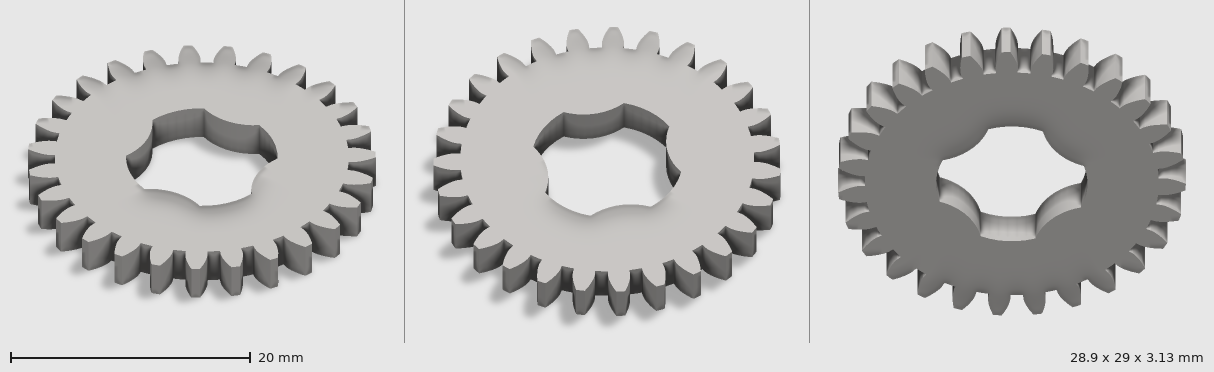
import cadquery as cq
import math

longest_side = 28.98
tooth_count = 27
thickness = 3.13
pressure_angle = math.radians(20)
addendum_factor = 1.0
dedendum_factor = 1.25
tooth_pitch = 2 * math.pi / tooth_count


def involute(angle):
    return math.tan(angle) - angle


def half_tooth_angle(flank_angle):
    """Half the angle a tooth spans where its involute has this pressure angle."""
    return tooth_pitch / 4 + involute(pressure_angle) - involute(flank_angle)


pitch_to_outer = tooth_count / (tooth_count + 2 * addendum_factor)
tip_flank_angle = math.acos(pitch_to_outer * math.cos(pressure_angle))
corner_off_y = tooth_pitch / 4 - half_tooth_angle(tip_flank_angle)
outer_radius = longest_side / 2 / math.cos(corner_off_y)

pitch_radius = outer_radius * pitch_to_outer
module = 2 * pitch_radius / tooth_count
base_radius = pitch_radius * math.cos(pressure_angle)
root_radius = pitch_radius - dedendum_factor * module

bore_radius = 6.32
bulge_radius = 5.15
bulge_reach = 5.1
bulge_count = 4

flank_steps = 6


def polar(radius, angle):
    return (radius * math.cos(angle), radius * math.sin(angle))


def flank(center_angle, side):
    """Involute points from base circle to tip; side is -1 or +1."""
    points = []
    for step in range(flank_steps + 1):
        radius = base_radius + (outer_radius - base_radius) * step / flank_steps
        flank_angle = math.acos(min(1.0, base_radius / radius))
        points.append(polar(radius, center_angle + side * half_tooth_angle(flank_angle)))
    return points


def gear_blank():
    root_half_angle = half_tooth_angle(0)
    outline = cq.Workplane("XY").moveTo(*polar(root_radius, -root_half_angle))
    for tooth in range(tooth_count):
        center = tooth * tooth_pitch
        rising = flank(center, -1)
        falling = flank(center, 1)[::-1]
        outline = (
            outline.lineTo(*rising[0])
            .spline(rising[1:], includeCurrent=True)
            .threePointArc(polar(outer_radius, center), falling[0])
            .spline(falling[1:], includeCurrent=True)
            .lineTo(*polar(root_radius, center + root_half_angle))
            .threePointArc(
                polar(root_radius, center + tooth_pitch / 2),
                polar(root_radius, center + tooth_pitch - root_half_angle),
            )
        )
    return outline.close().extrude(thickness)


def opening():
    bore = cq.Workplane("XY").circle(bore_radius).extrude(thickness)
    bulges = (
        cq.Workplane("XY")
        .polarArray(bulge_reach + bulge_radius, 0, 360, bulge_count)
        .circle(bulge_radius)
        .extrude(thickness)
    )
    return bore.cut(bulges)


result = gear_blank().cut(opening())